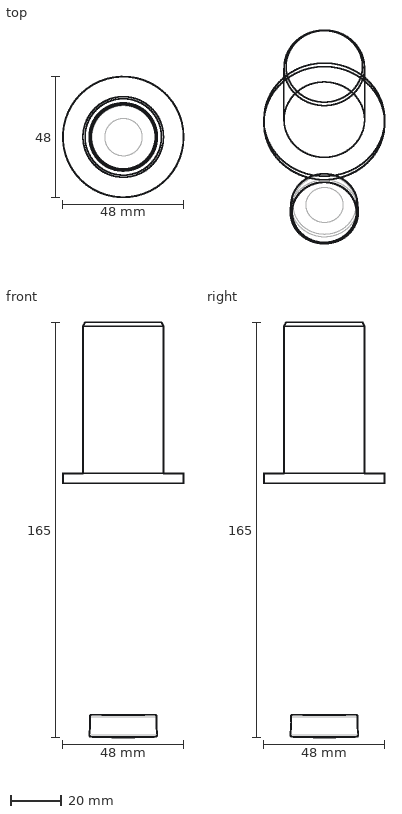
import cadquery as cq

pin_diameter = 32.0
flange_diameter = 48.0
flange_thickness = 4.0
pin_height = 64.0
chamfer_height = 1.6
chamfer_inset = 0.8

overall_height = 165.0
plug_top = 9.2
plug_top_radius = 13.4
plug_bottom_radius = 13.7
plug_waist_radius = 13.2
plug_edge_radius = 0.8
dish_floor_radius = 7.5
dish_depth = 0.25
tip_height = 0.3
plug_waist_z = 5.6


def make_pin():
    """Flanged round pin with a chamfered free end."""
    base_z = overall_height - pin_height
    shank_radius = pin_diameter / 2
    flange_radius = flange_diameter / 2
    flange_top = base_z + flange_thickness
    return (
        cq.Workplane("XZ")
        .moveTo(0, base_z)
        .lineTo(flange_radius, base_z)
        .lineTo(flange_radius, flange_top)
        .lineTo(shank_radius, flange_top)
        .lineTo(shank_radius, overall_height - chamfer_height)
        .lineTo(shank_radius - chamfer_inset, overall_height)
        .lineTo(0, overall_height)
        .close()
        .revolve(360, (0, 0), (0, 1))
    )


def make_plug():
    """Round plug with a concave side, rounded rims, a dished top and a slightly conical bottom."""
    top_rim_radius = plug_top_radius - plug_edge_radius
    bottom_rim_radius = plug_bottom_radius - plug_edge_radius
    body = (
        cq.Workplane("XZ")
        .moveTo(0, tip_height)
        .lineTo(plug_bottom_radius, tip_height)
        .threePointArc((plug_waist_radius, plug_waist_z), (plug_top_radius, plug_top))
        .lineTo(0, plug_top)
        .close()
        .revolve(360, (0, 0), (0, 1))
        .faces("<Z or >Z")
        .edges()
        .fillet(plug_edge_radius)
    )
    dish = (
        cq.Workplane("XZ")
        .moveTo(0, plug_top - dish_depth)
        .lineTo(dish_floor_radius, plug_top - dish_depth)
        .lineTo(top_rim_radius, plug_top)
        .lineTo(0, plug_top)
        .close()
        .revolve(360, (0, 0), (0, 1))
    )
    tip = (
        cq.Workplane("XZ")
        .lineTo(bottom_rim_radius, tip_height)
        .lineTo(0, tip_height)
        .close()
        .revolve(360, (0, 0), (0, 1))
    )
    return body.cut(dish).union(tip)


pin = make_pin()
plug = make_plug()

result = cq.Compound.makeCompound([pin.val(), plug.solids().val()])